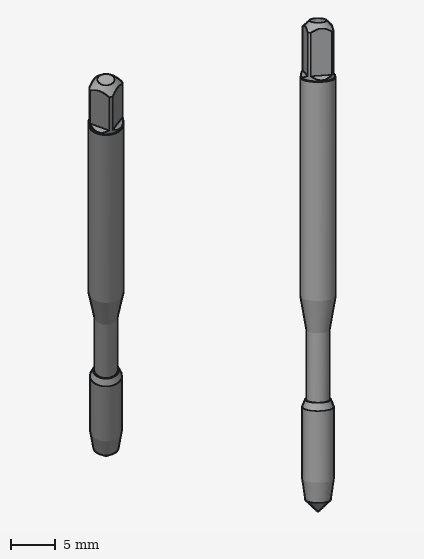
import cadquery as cq


total_length = 57.16

thread_diameter = 3.59
point_diameter = 2.9
point_height = point_diameter / 2
lead_top = 3.9
thread_top = 12.235

neck_diameter = 2.64
collar_height = 0.85
collar_top_diameter = 2.9
neck_top = 21.16
neck_taper_top = 25.1

shank_diameter = 4.0
drive_diameter = 3.84
shank_edge_height = (shank_diameter - drive_diameter) / 2
runout_gap = 0.04

drive_width = 3.0
drive_length = 6.0
runout_depth = (shank_diameter - drive_width) / 2
drive_top_diameter = drive_diameter / 2
drive_chamfer = (drive_diameter - drive_top_diameter) / 2

flat_bottom = total_length - drive_length
shank_top = flat_bottom - runout_depth - runout_gap - shank_edge_height


def turned(profile):
    """Revolve a half profile of (radius, height) points about Z."""
    return cq.Workplane("XZ").polyline(profile).close().revolve(360, (0, 0), (0, 1))


def make_cutting_part():
    """Pointed and tapered thread section, flat on top."""
    return turned([
        (0, 0),
        (point_diameter / 2, point_height),
        (thread_diameter / 2, lead_top),
        (thread_diameter / 2, thread_top),
        (0, thread_top),
    ])


def make_flat_cutter():
    """Block that cuts the +X flat of the drive, with a sloping lower end."""
    flat = drive_width / 2
    outside = shank_diameter
    slope_drop = outside - flat
    return (
        cq.Workplane("XZ")
        .moveTo(flat, flat_bottom)
        .lineTo(outside, flat_bottom - slope_drop)
        .lineTo(outside, total_length)
        .lineTo(flat, total_length)
        .close()
        .extrude(shank_diameter, both=True)
    )


def make_shank():
    """Neck, cylindrical shank and square drive."""
    shank = turned([
        (0, thread_top),
        (thread_diameter / 2, thread_top),
        (collar_top_diameter / 2, thread_top + collar_height),
        (neck_diameter / 2, thread_top + collar_height),
        (neck_diameter / 2, neck_top),
        (shank_diameter / 2, neck_taper_top),
        (shank_diameter / 2, shank_top),
        (drive_diameter / 2, shank_top + shank_edge_height),
        (drive_diameter / 2, total_length - drive_chamfer),
        (drive_top_diameter / 2, total_length),
        (0, total_length),
    ])
    flat_cutter = make_flat_cutter()
    for angle in (0, 90, 180, 270):
        shank = shank.cut(flat_cutter.rotate((0, 0, 0), (0, 0, 1), angle))
    return shank


cutting_part = make_cutting_part()
shank = make_shank()

result = cq.Compound.makeCompound([cutting_part.val(), shank.val()])